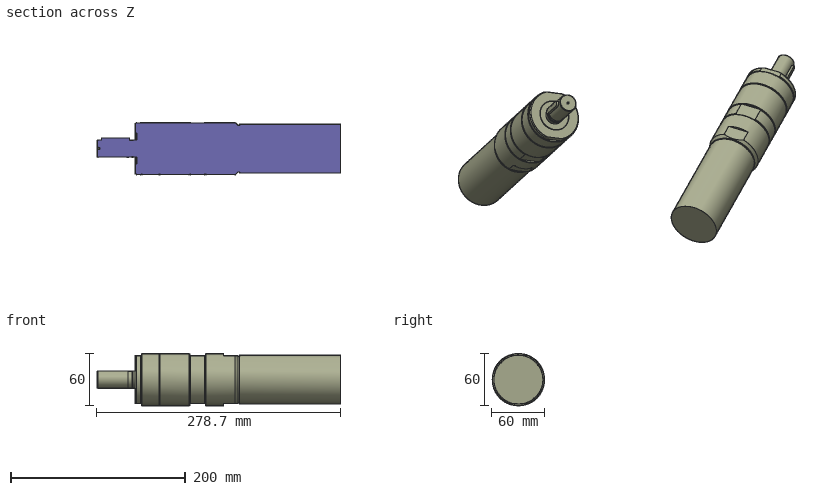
import cadquery as cq

total_length = 278.7
body_diameter = 60.0
motor_diameter = 56.0
neck_diameter = 53.8
shaft_diameter = 20.0
shaft_seat_diameter = 19.8
shaft_groove_diameter = 19.0

shaft_seat_start = 35.5
shaft_groove_start = 39.5
shaft_groove_end = 40.7
face_x = 43.5
front_groove_x = 50.5
ring_groove_x = 71.0
middle_groove_x = 106.2
rear_groove_x = 123.7
rear_flat_start = 144.6
rear_taper_start = 158.0
neck_start = 161.5
motor_start = 163.0

shaft_chamfer = 0.7
face_chamfer_length = 1.5
face_chamfer_depth = 1.0
groove_depth = 0.5
v_groove_half_width = 0.8
ring_groove_width = 1.0

flats_distance = 55.0
blank_diameter = body_diameter + 2.8
key_width = 6.0
key_length = 32.3
key_start = 4.7
key_top = 12.3
recess_diameter = 35.0
recess_depth = 1.7
center_hole_diameter = 1.55
center_hole_depth = 2.8
countersink_diameter = 2.5
countersink_angle = 60


def cylinder(start, end, diameter):
    """Solid cylinder on the X axis between two stations."""
    return cq.Workplane("YZ", origin=(start, 0, 0)).circle(diameter / 2).extrude(end - start)


def make_turned_body():
    """Revolve the half profile of the shaft, gearbox and motor."""
    shaft_radius = shaft_diameter / 2
    seat_radius = shaft_seat_diameter / 2
    shaft_groove_radius = shaft_groove_diameter / 2
    body_radius = body_diameter / 2
    groove_radius = body_radius - groove_depth
    profile = [
        (0, 0),
        (0, shaft_radius - shaft_chamfer),
        (shaft_chamfer, shaft_radius),
        (shaft_seat_start, shaft_radius),
        (shaft_seat_start, seat_radius),
        (shaft_groove_start, seat_radius),
        (shaft_groove_start, shaft_groove_radius),
        (shaft_groove_end, shaft_groove_radius),
        (shaft_groove_end, shaft_radius),
        (face_x, shaft_radius),
        (face_x, body_radius - face_chamfer_depth),
        (face_x + face_chamfer_length, body_radius),
    ]
    for groove_x in (front_groove_x, middle_groove_x, rear_groove_x):
        profile += [
            (groove_x - v_groove_half_width, body_radius),
            (groove_x, groove_radius),
            (groove_x + v_groove_half_width, body_radius),
        ]
    profile += [
        (rear_taper_start, body_radius),
        (neck_start, neck_diameter / 2),
        (motor_start, neck_diameter / 2),
        (motor_start, motor_diameter / 2),
        (total_length, motor_diameter / 2),
        (total_length, 0),
    ]
    return cq.Workplane("XY").polyline(profile).close().revolve(360, (0, 0, 0), (1, 0, 0))


def cut_flats(body, start, end):
    """Cut a pair of wrench flats, facing +Z and -Z, between two stations."""
    middle_slab = cq.Workplane("XY").box(
        end - start, body_diameter, flats_distance, centered=(False, True, True)
    )
    waste = cylinder(start, end, blank_diameter).cut(middle_slab.translate((start, 0, 0)))
    return body.cut(waste)


def make_key():
    """Round-ended key rising from the shaft axis towards +Y."""
    return (
        cq.Workplane("XZ", origin=(key_start + key_length / 2, 0, 0))
        .slot2D(key_length, key_width)
        .extrude(-key_top)
    )


result = make_turned_body()

ring_start = ring_groove_x - ring_groove_width / 2
ring_end = ring_groove_x + ring_groove_width / 2
ring_core = cylinder(ring_start, ring_end, body_diameter - 2 * groove_depth)
result = result.cut(cylinder(ring_start, ring_end, blank_diameter).cut(ring_core))

flat_spans = [
    (face_x, front_groove_x),
    (middle_groove_x, rear_groove_x),
    (rear_flat_start, motor_start),
]
for flat_start, flat_end in flat_spans:
    result = cut_flats(result, flat_start, flat_end)

recess_end = face_x + recess_depth
recess = cylinder(face_x, recess_end, recess_diameter)
result = result.cut(recess.cut(cylinder(face_x, recess_end, shaft_diameter)))

result = result.union(make_key())

result = (
    result.faces("<X")
    .workplane(origin=(0, 0, 0))
    .cskHole(center_hole_diameter, countersink_diameter, countersink_angle, center_hole_depth)
)